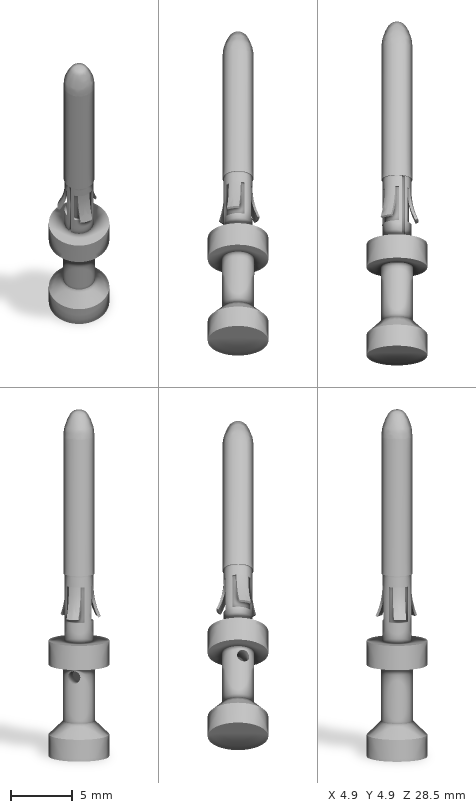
import cadquery as cq
import math

FLANGE_RADIUS = 2.45
BARREL_RADIUS = 1.3
PIN_RADIUS = 1.25
TOTAL_HEIGHT = 28.5
BASE_HEIGHT = 1.8
CONE_HEIGHT = 1.1
COLLAR_BOTTOM = 7.52
COLLAR_TOP = 9.52
SHOULDER_HEIGHT = 15.02
NOSE_LENGTH = 2.22

SLEEVE_RADIUS = 1.17
SLEEVE_WALL = 0.2
CORE_RADIUS = SLEEVE_RADIUS - SLEEVE_WALL
SPLIT_WIDTH = 0.25

TONGUE_ANGLES = (90, 210, 330)
WINDOW_TOP = 14.08
WINDOW_BOTTOM = 11.17
WINDOW_WIDTH = 1.55
TONGUE_WIDTH = 1.0
TONGUE_BEND_RADIUS = 5.98
TONGUE_BEND_ANGLE = 25.5

SIDE_HOLE_RADIUS = 0.5
SIDE_HOLE_HEIGHT = 6.7


def turned_body():
    """Revolve base, barrel, collar, core, pin and elliptical nose about Z."""
    nose_bottom = TOTAL_HEIGHT - NOSE_LENGTH
    nose_middle = (
        PIN_RADIUS * math.cos(math.pi / 4),
        nose_bottom + NOSE_LENGTH * math.sin(math.pi / 4),
    )
    return (
        cq.Workplane("XZ")
        .lineTo(FLANGE_RADIUS, 0)
        .lineTo(FLANGE_RADIUS, BASE_HEIGHT)
        .lineTo(BARREL_RADIUS, BASE_HEIGHT + CONE_HEIGHT)
        .lineTo(BARREL_RADIUS, COLLAR_BOTTOM)
        .lineTo(FLANGE_RADIUS, COLLAR_BOTTOM)
        .lineTo(FLANGE_RADIUS, COLLAR_TOP)
        .lineTo(CORE_RADIUS, COLLAR_TOP)
        .lineTo(CORE_RADIUS, SHOULDER_HEIGHT)
        .lineTo(PIN_RADIUS, SHOULDER_HEIGHT)
        .lineTo(PIN_RADIUS, nose_bottom)
        .spline([nose_middle, (0, TOTAL_HEIGHT)], tangents=[(0, 1), (-1, 0)], includeCurrent=True)
        .close()
        .revolve(360, (0, 0, 0), (0, 1, 0))
    )


def radial_block(width, bottom, top, angle):
    """Block reaching outwards from the axis in the given direction."""
    return (
        cq.Workplane("XY", origin=(0, 0, bottom))
        .rect(FLANGE_RADIUS, width)
        .extrude(top - bottom)
        .translate((FLANGE_RADIUS / 2, 0, 0))
        .rotate((0, 0, 0), (0, 0, 1), angle)
    )


def sleeve():
    """Tube with a lengthwise split at -Y and three windows."""
    tube = (
        cq.Workplane("XY", origin=(0, 0, COLLAR_TOP))
        .circle(SLEEVE_RADIUS)
        .circle(CORE_RADIUS)
        .extrude(SHOULDER_HEIGHT - COLLAR_TOP)
    )
    tube = tube.cut(radial_block(SPLIT_WIDTH, COLLAR_TOP, SHOULDER_HEIGHT, -90))
    for angle in TONGUE_ANGLES:
        tube = tube.cut(radial_block(WINDOW_WIDTH, WINDOW_BOTTOM, WINDOW_TOP, angle))
    return tube


def bend_point(bend_radius, angle):
    """Radius and height of a point on the bend, turned down from the window top."""
    bend_centre = SLEEVE_RADIUS + TONGUE_BEND_RADIUS
    turn = math.radians(angle)
    return (bend_centre - bend_radius * math.cos(turn), WINDOW_TOP - bend_radius * math.sin(turn))


def tongue_flare():
    """Full ring with the bent tongue profile."""
    inner_bend = TONGUE_BEND_RADIUS + SLEEVE_WALL
    half_bend = TONGUE_BEND_ANGLE / 2
    return (
        cq.Workplane("XZ")
        .moveTo(SLEEVE_RADIUS, WINDOW_TOP)
        .threePointArc(
            bend_point(TONGUE_BEND_RADIUS, half_bend),
            bend_point(TONGUE_BEND_RADIUS, TONGUE_BEND_ANGLE),
        )
        .lineTo(*bend_point(inner_bend, TONGUE_BEND_ANGLE))
        .threePointArc(bend_point(inner_bend, half_bend), (CORE_RADIUS, WINDOW_TOP))
        .close()
        .revolve(360, (0, 0, 0), (0, 1, 0))
    )


def side_hole():
    """Radial drilling from +Y to the axis."""
    return (
        cq.Workplane("XZ", origin=(0, 0, SIDE_HOLE_HEIGHT))
        .circle(SIDE_HOLE_RADIUS)
        .extrude(-FLANGE_RADIUS)
    )


result = turned_body().cut(side_hole()).union(sleeve())
flare = tongue_flare()
for tongue_angle in TONGUE_ANGLES:
    strip = radial_block(TONGUE_WIDTH, COLLAR_TOP, WINDOW_TOP, tongue_angle)
    result = result.union(flare.intersect(strip))